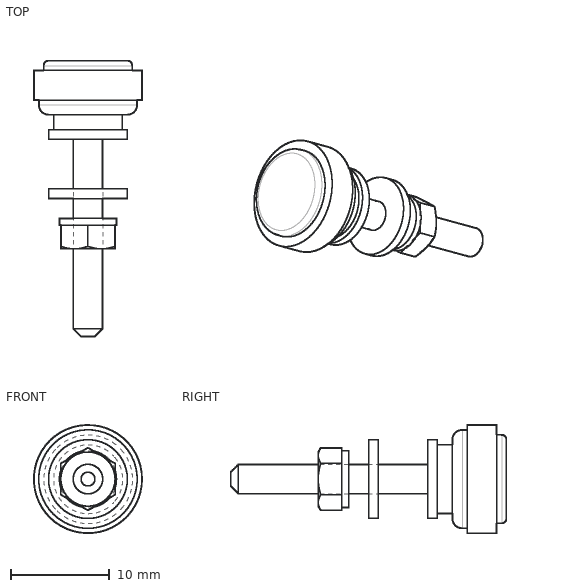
import cadquery as cq
import math


shank_diameter = 3.0
shank_length = 20.0
tip_chamfer = 0.8

flange_diameter = 8.0
flange_thickness = 1.0

neck_diameter = 7.0
neck_length = 1.5

shoulder_diameter = 10.0
shoulder_length = 1.5
shoulder_fillet = 1.0

rim_diameter = 11.0
rim_length = 3.0

cap_diameter = 9.0
cap_length = 1.0
cap_fillet = 0.5

washer_diameter = 8.0
washer_thickness = 1.0
washer_gap = 5.0

lock_washer_diameter = 5.8
lock_washer_thickness = 0.7
lock_washer_gap = 2.0

nut_across_flats = 5.5
nut_thickness = 2.4
nut_chamfer_angle = 30.0

washer_y = -washer_gap
lock_washer_y = washer_y - washer_thickness - lock_washer_gap
nut_y = lock_washer_y - lock_washer_thickness


def disc(diameter, start_y, length):
    """Cylinder on the Y axis, running from start_y toward -Y."""
    return cq.Workplane("XZ", origin=(0, start_y, 0)).circle(diameter / 2).extrude(length)


def make_stud():
    flange_y = flange_thickness
    neck_y = flange_y + neck_length
    shoulder_y = neck_y + shoulder_length
    rim_y = shoulder_y + rim_length
    cap_y = rim_y + cap_length

    shank = disc(shank_diameter, 0, shank_length).faces("<Y").chamfer(tip_chamfer)
    flange = disc(flange_diameter, flange_y, flange_thickness)
    neck = disc(neck_diameter, neck_y, neck_length)
    shoulder = disc(shoulder_diameter, shoulder_y, shoulder_length)
    shoulder = shoulder.faces("<Y").edges().fillet(shoulder_fillet)
    rim = disc(rim_diameter, rim_y, rim_length)
    cap = disc(cap_diameter, cap_y, cap_length).faces(">Y").edges().fillet(cap_fillet)
    return shank.union(flange).union(neck).union(shoulder).union(rim).union(cap)


def make_ring(diameter, start_y, thickness):
    """Washer with a bore that fits the shank."""
    return disc(diameter, start_y, thickness).cut(disc(shank_diameter, start_y, thickness))


def make_nut():
    """Hex nut with corners up and down; its -Y end is chamfered by a cone."""
    corner_radius = nut_across_flats / 2 / math.cos(math.radians(30))
    hexagon = (
        cq.Workplane("XZ", origin=(0, nut_y, 0))
        .transformed(rotate=(0, 0, 90))
        .polygon(6, 2 * corner_radius)
        .extrude(nut_thickness)
    )

    face_radius = nut_across_flats / 2
    chamfer_height = (corner_radius - face_radius) * math.tan(math.radians(nut_chamfer_angle))
    end_y = nut_y - nut_thickness
    envelope = (
        cq.Workplane("XY")
        .moveTo(0, nut_y)
        .lineTo(corner_radius, nut_y)
        .lineTo(corner_radius, end_y + chamfer_height)
        .lineTo(face_radius, end_y)
        .lineTo(0, end_y)
        .close()
        .revolve(360, (0, 0, 0), (0, 1, 0))
    )
    return hexagon.intersect(envelope).cut(disc(shank_diameter, nut_y, nut_thickness))


stud = make_stud()
washer = make_ring(washer_diameter, washer_y, washer_thickness)
lock_washer = make_ring(lock_washer_diameter, lock_washer_y, lock_washer_thickness)
nut = make_nut()

result = cq.Compound.makeCompound([stud.val(), washer.val(), lock_washer.val(), nut.val()])